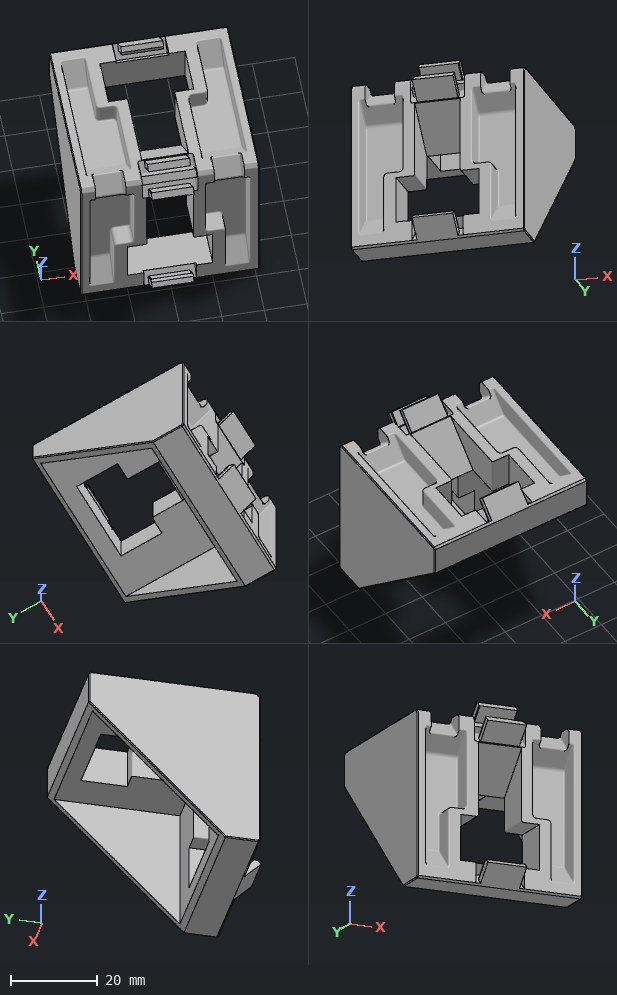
import cadquery as cq
import math


width = 42.0
leg = 40.8
end_height = 8.3
plate_thickness = 9.6
side_wall = 1.8
corner_chamfer = 1.0
corner_blend = 0.5
end_chamfer = 0.5
side_chamfer = 0.25

slot_narrow = 11.0
slot_wide = 20.0
slot_step = 24.3
slot_end = 35.3
slot_step_radius = 0.4
web_half = 6.4

recess_start = 4.0
recess_end = 37.6
recess_step = 23.2
recess_outer_x = width / 2 - side_wall
recess_wide_inner_x = 8.0
recess_narrow_inner_x = 12.7
recess_depth = 5.0
recess_rim_radius = 0.4
recess_step_radius = 1.0
recess_floor_radius = 0.4
recess_slope_radius = 1.2

notch_chamfer = 6.2
notch_outer_x = 17.5
notch_inner_x = 10.4
notch_floor_radius = 0.5
notch_end_radius = 0.5

clip_width = 9.9
clip_chamfer = 0.2
clip_embed = 0.5
near_clip_across = (3.5, 6.0)
near_clip_tip = -1.9
near_groove_width = 13.0
near_groove_floor = 6.2
ridge_half = 1.4
ridge_top = 3.3
groove_foot_radius = 0.4
far_clip_across = (37.4, leg - end_chamfer)
far_clip_rise = 4.03
far_groove_width = 12.4
far_groove_across = 34.7

edge_tolerance = 0.01
eps = 1.0


def diagonal_point(across, depth):
    """Point (Y, Z) from its coordinates across and along the corner diagonal."""
    return ((across + depth) / 2, (across - depth) / 2)


def prism(points, size_x):
    """Prism along X, centred on X = 0, over a closed outline of (Y, Z) points."""
    return cq.Workplane("YZ").polyline(points).close().extrude(size_x / 2, both=True)


def x_box(size_x, y_range, z_range):
    """Box centred on X = 0 between two Y and two Z values."""
    (y0, y1), (z0, z1) = y_range, z_range
    return prism([(y0, z0), (y1, z0), (y1, z1), (y0, z1)], size_x)


def to_front(shape):
    """Mirror of a top plate feature onto the front plate."""
    return shape.mirror((0, 1, 1))


def on_both_sides(shape):
    return shape.union(shape.mirror("YZ"))


def make_body():
    outline = [
        (corner_chamfer, 0),
        (leg - end_chamfer, 0),
        (leg, -end_chamfer),
        (leg, -end_height),
        (end_height, -leg),
        (end_chamfer, -leg),
        (0, -leg + end_chamfer),
        (0, -corner_chamfer),
    ]
    body = prism(outline, width)
    corner_edges = body.edges(cq.selectors.BoxSelector(
        (-width, -eps / 2, -corner_chamfer - eps / 2),
        (width, corner_chamfer + eps / 2, eps / 2),
    )).edges("|X")
    body = corner_edges.fillet(corner_blend)
    body = body.faces("<X or >X").chamfer(side_chamfer)
    cavity = prism([
        (plate_thickness, -plate_thickness),
        (leg + eps, -plate_thickness),
        (leg + eps, -leg - eps),
        (plate_thickness, -leg - eps),
    ], width - 2 * side_wall)
    return body.cut(cavity)


def make_slot():
    """T-shaped opening; its near end slopes so that a diagonal web remains at the corner."""
    bottom = -plate_thickness
    narrow = prism([
        (web_half - eps, eps),
        (slot_step + eps, eps),
        (slot_step + eps, bottom),
        (web_half - bottom, bottom),
    ], slot_narrow)
    wide = x_box(slot_wide, (slot_step, slot_end), (bottom, eps))
    slot = narrow.union(wide)
    step_corners = slot.edges(cq.selectors.BoxSelector(
        (-slot_narrow / 2 - eps / 2, slot_step - eps / 2, bottom - eps),
        (slot_narrow / 2 + eps / 2, slot_step + eps / 2, 2 * eps),
    )).edges("|Z")
    return step_corners.fillet(slot_step_radius)


def make_recess():
    """Stepped recess with 45 degree ends, at positive X."""
    outer = recess_outer_x - recess_rim_radius
    narrow = recess_narrow_inner_x + recess_rim_radius
    wide = recess_wide_inner_x + recess_rim_radius
    step = recess_step - recess_rim_radius
    radius = recess_step_radius
    walls = (
        cq.Workplane("XY")
        .moveTo(outer, recess_start - eps)
        .lineTo(outer, recess_end + eps)
        .lineTo(narrow, recess_end + eps)
        .lineTo(narrow, step + radius)
        .radiusArc((narrow - radius, step), radius)
        .lineTo(wide + radius, step)
        .radiusArc((wide, step - radius), -radius)
        .lineTo(wide, recess_start - eps)
        .close()
        .extrude(-recess_depth)
    )
    envelope = prism([
        (recess_start, 0),
        (recess_start + recess_depth, -recess_depth),
        (recess_end - recess_depth, -recess_depth),
        (recess_end, 0),
    ], width)
    envelope = envelope.faces("<Z").edges("|X").fillet(recess_slope_radius)
    recess = walls.intersect(envelope)
    return recess.faces("<Z").edges("|Y").fillet(recess_floor_radius)


def make_notch():
    """Flat-floored notch across the outer corner, at positive X."""
    turn = notch_end_radius * math.sqrt(2)
    floor_half = recess_start - turn
    notch = (
        cq.Workplane("YZ")
        .moveTo(*diagonal_point(-floor_half, notch_chamfer))
        .lineTo(*diagonal_point(floor_half, notch_chamfer))
        .radiusArc(diagonal_point(recess_start, notch_chamfer + turn), notch_end_radius)
        .lineTo(*diagonal_point(notch_chamfer + eps, notch_chamfer + turn))
        .lineTo(*diagonal_point(0, -eps))
        .lineTo(*diagonal_point(-notch_chamfer - eps, notch_chamfer + turn))
        .lineTo(*diagonal_point(-recess_start, notch_chamfer + turn))
        .radiusArc(diagonal_point(-floor_half, notch_chamfer), notch_end_radius)
        .close()
        .extrude((notch_outer_x - notch_inner_x) / 2, both=True)
    )
    floor_centre = (0, *diagonal_point(0, notch_chamfer))
    floor = notch.faces(cq.selectors.NearestToPointSelector(floor_centre))
    notch = floor.edges("#X").fillet(notch_floor_radius)
    return notch.translate(((notch_outer_x + notch_inner_x) / 2, 0, 0))


def make_near_groove():
    """Relief across the outer corner that leaves a low ridge in its middle."""
    reach = web_half + eps
    groove = prism([
        diagonal_point(-reach, near_groove_floor),
        diagonal_point(-ridge_half, near_groove_floor),
        diagonal_point(-ridge_half, ridge_top),
        diagonal_point(ridge_half, ridge_top),
        diagonal_point(ridge_half, near_groove_floor),
        diagonal_point(reach, near_groove_floor),
        diagonal_point(0, -eps),
    ], near_groove_width)
    floor_feet = groove.faces("<(0, -1, 1)").edges("not (>Y or <Z)")
    return floor_feet.fillet(groove_foot_radius)


def make_far_groove():
    """Relief at the far end of the slot, open to the slot and to the top face."""
    floor = far_clip_across[1]
    top = floor - 2 * (far_clip_rise + eps)
    return prism([
        diagonal_point(far_groove_across, floor),
        diagonal_point(far_groove_across, top),
        diagonal_point(floor + eps, top),
        diagonal_point(floor + eps, floor),
    ], far_groove_width)


def make_clip(across, tip, root):
    """Bar leaning towards the outer corner at 45 degrees, between two depths."""
    inner, outer = across
    clip = prism([
        diagonal_point(inner, tip),
        diagonal_point(outer, tip),
        diagonal_point(outer, root + clip_embed),
        diagonal_point(inner, root + clip_embed),
    ], clip_width)
    lower_edges = clip.faces("<(0, 1, 1)").edges("#X")
    return lower_edges.chamfer(clip_chamfer)


def make_near_clip():
    return make_clip(near_clip_across, near_clip_tip, near_groove_floor)


def make_far_clip():
    """Clip at the far end of the slot, trimmed flush with the slot end."""
    outer = far_clip_across[1]
    clip = make_clip(far_clip_across, outer - 2 * far_clip_rise, outer)
    trim = x_box(width, (slot_end - leg, slot_end), (-leg, leg))
    return clip.cut(trim)


def cut_recesses(body):
    """Recesses of the top plate with their rounded rims."""
    body = body.cut(on_both_sides(make_recess()))
    rim = cq.selectors.BoxSelector(
        (-recess_outer_x, recess_start - eps, -edge_tolerance),
        (recess_outer_x, recess_end + eps, edge_tolerance),
    )
    return body.edges(rim).fillet(recess_rim_radius)


result = to_front(cut_recesses(to_front(cut_recesses(make_body()))))
result = result.cut(on_both_sides(make_notch())).cut(make_near_groove())
for cutter in (make_slot(), make_far_groove()):
    result = result.cut(cutter).cut(to_front(cutter))
for clip in (make_near_clip(), make_far_clip()):
    result = result.union(clip).union(to_front(clip))